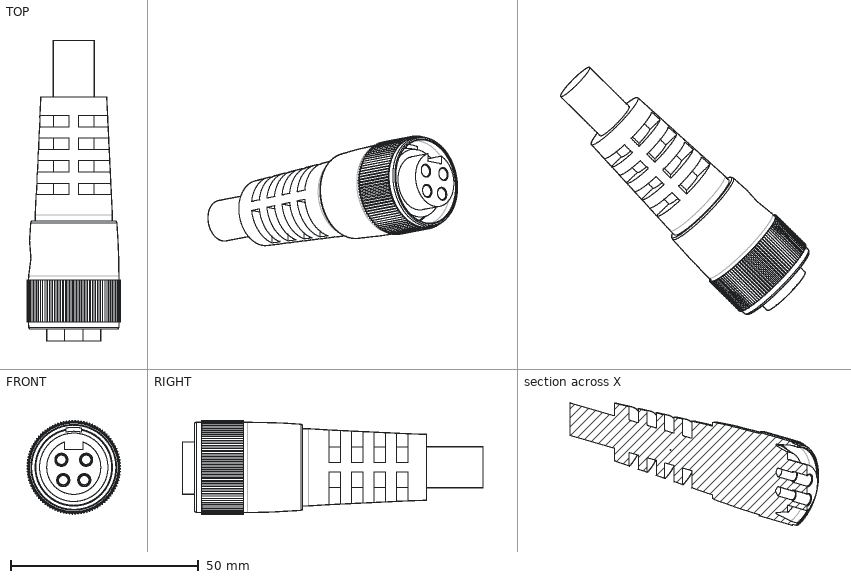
import cadquery as cq
import math

TOTAL_LENGTH = 80.0

CABLE_RADIUS = 5.5
RELIEF_END_Y = 65.0
RELIEF_END_RADIUS = 8.8
RELIEF_BASE_Y = 33.6
RELIEF_BASE_RADIUS = 10.3

SLOT_COUNT = 4
SLOT_START_Y = 39.0
SLOT_WIDTH = 3.0
SLOT_PITCH = 6.0
SLOT_WEB = 2.5

NUT_FRONT_Y = 3.2
NUT_BACK_Y = 32.0
NUT_RADIUS = 12.05
NUT_BACK_RADIUS = 11.5
NUT_STRAIGHT_END_Y = 17.3
NUT_EDGE_LENGTH = 0.5
NUT_EDGE_DEPTH = 0.25

KNURL_START_Y = 5.1
KNURL_END_Y = 16.3
KNURL_TIP_RADIUS = 12.5
KNURL_TEETH = 100

MOUTH_RADIUS = 11.2
MOUTH_EDGE = 0.2
MOUTH_END_Y = 5.5
BORE_RADIUS = 10.3
FLOOR_Y = 6.6
FLOOR_RADIUS = 9.1
SHOULDER_RADIUS = 10.1
SHOULDER_LENGTH = 4.0
KEY_WIDTH = 4.2
KEY_FACE_Y = FLOOR_Y + SHOULDER_LENGTH / 2

INSERT_RADIUS = 7.2
KEYWAY_WIDTH = 5.0
KEYWAY_BOTTOM_Z = 4.7

CONTACT_CENTRES = [(-3.3, 2.0), (3.3, 2.0), (-2.8, -3.4), (2.8, -3.4)]
CONTACT_MOUTH_RADIUS = 1.75
CONTACT_RADIUS = 1.55
CONTACT_LEAD_IN = 0.2
CONTACT_BORE_RADIUS = 1.25
CONTACT_STEP_Y = 5.0
CONTACT_DEPTH = 10.0
DRILL_TIP_LENGTH = 0.75


def revolve_about_y(sketch):
    """Turn a closed radius-Y outline drawn on the XY plane about the Y axis."""
    return sketch.close().revolve(360, (0, 0, 0), (0, 1, 0))


def cylinder_along_y(radius, start_y, end_y):
    return cq.Workplane("XZ", origin=(0, start_y, 0)).circle(radius).extrude(start_y - end_y)


def strain_relief():
    """Tapered sleeve whose straight base is buried in the back of the nut."""
    outline = (
        cq.Workplane("XY")
        .moveTo(0, NUT_STRAIGHT_END_Y)
        .lineTo(RELIEF_BASE_RADIUS, NUT_STRAIGHT_END_Y)
        .lineTo(RELIEF_BASE_RADIUS, RELIEF_BASE_Y)
        .lineTo(RELIEF_END_RADIUS, RELIEF_END_Y)
        .lineTo(0, RELIEF_END_Y)
    )
    return revolve_about_y(outline)


def flex_slot(start_y):
    """Four quarter-ring pockets down to the cable, parted by webs on the X and Z axes."""
    end_y = start_y + SLOT_WIDTH
    span = 2 * NUT_RADIUS
    mid_y = start_y + SLOT_WIDTH / 2
    ring = cylinder_along_y(NUT_RADIUS, start_y, end_y).cut(cylinder_along_y(CABLE_RADIUS, start_y, end_y))
    upright_web = cq.Workplane("XY").box(SLOT_WEB, SLOT_WIDTH, span).translate((0, mid_y, 0))
    level_web = cq.Workplane("XY").box(span, SLOT_WIDTH, SLOT_WEB).translate((0, mid_y, 0))
    return ring.cut(upright_web).cut(level_web)


def coupling_nut():
    """Nut body, straight at the front and curving in towards the back."""
    back_edge_y = NUT_BACK_Y - NUT_EDGE_LENGTH
    outline = (
        cq.Workplane("XY")
        .moveTo(0, NUT_FRONT_Y)
        .lineTo(NUT_RADIUS - NUT_EDGE_DEPTH, NUT_FRONT_Y)
        .lineTo(NUT_RADIUS, NUT_FRONT_Y + NUT_EDGE_LENGTH)
        .lineTo(NUT_RADIUS, NUT_STRAIGHT_END_Y)
        .tangentArcPoint((NUT_BACK_RADIUS, back_edge_y), relative=False)
        .lineTo(NUT_BACK_RADIUS - NUT_EDGE_DEPTH, NUT_BACK_Y)
        .lineTo(0, NUT_BACK_Y)
    )
    return revolve_about_y(outline)


def knurled_band():
    """Straight V teeth, with a valley on each of the X and Z axes."""
    points = []
    half_pitch = math.pi / KNURL_TEETH
    for step in range(2 * KNURL_TEETH):
        radius = KNURL_TIP_RADIUS if step % 2 else NUT_RADIUS
        angle = step * half_pitch
        points.append((radius * math.cos(angle), radius * math.sin(angle)))
    band = cq.Workplane("XZ", origin=(0, KNURL_START_Y, 0)).polyline(points).close()
    return band.extrude(KNURL_START_Y - KNURL_END_Y)


def socket_cavity():
    """Tapered ring groove around a raised flat floor, with a key part-way down the groove at the top."""
    shoulder_y = FLOOR_Y + SHOULDER_LENGTH
    outline = (
        cq.Workplane("XY")
        .moveTo(0, NUT_FRONT_Y)
        .lineTo(MOUTH_RADIUS + MOUTH_EDGE, NUT_FRONT_Y)
        .lineTo(MOUTH_RADIUS, NUT_FRONT_Y + MOUTH_EDGE)
        .lineTo(MOUTH_RADIUS, MOUTH_END_Y)
        .lineTo(BORE_RADIUS, shoulder_y)
        .lineTo(SHOULDER_RADIUS, shoulder_y)
        .lineTo(FLOOR_RADIUS, FLOOR_Y)
        .lineTo(0, FLOOR_Y)
    )
    key = (
        cq.Workplane("XY")
        .box(KEY_WIDTH, SHOULDER_LENGTH, NUT_RADIUS, centered=(True, False, False))
        .translate((0, KEY_FACE_Y, 0))
    )
    return revolve_about_y(outline).cut(key)


def contact_insert():
    insert = cylinder_along_y(INSERT_RADIUS, 0, FLOOR_Y)
    keyway = (
        cq.Workplane("XY")
        .box(KEYWAY_WIDTH, FLOOR_Y, INSERT_RADIUS, centered=(True, False, False))
        .translate((0, 0, KEYWAY_BOTTOM_Z))
    )
    return insert.cut(keyway)


def contact_hole(x, z):
    """Stepped blind hole with a bevelled mouth and a drill-point end."""
    outline = (
        cq.Workplane("XY")
        .lineTo(CONTACT_MOUTH_RADIUS, 0)
        .lineTo(CONTACT_RADIUS, CONTACT_LEAD_IN)
        .lineTo(CONTACT_RADIUS, CONTACT_STEP_Y)
        .lineTo(CONTACT_BORE_RADIUS, CONTACT_STEP_Y)
        .lineTo(CONTACT_BORE_RADIUS, CONTACT_DEPTH)
        .lineTo(0, CONTACT_DEPTH + DRILL_TIP_LENGTH)
    )
    return revolve_about_y(outline).translate((x, 0, z))


result = strain_relief()
for slot_index in range(SLOT_COUNT):
    result = result.cut(flex_slot(SLOT_START_Y + slot_index * SLOT_PITCH))
result = result.union(coupling_nut()).union(knurled_band()).cut(socket_cavity())
result = result.union(cylinder_along_y(CABLE_RADIUS, NUT_BACK_Y, TOTAL_LENGTH))
result = result.union(contact_insert())
for centre_x, centre_z in CONTACT_CENTRES:
    result = result.cut(contact_hole(centre_x, centre_z))